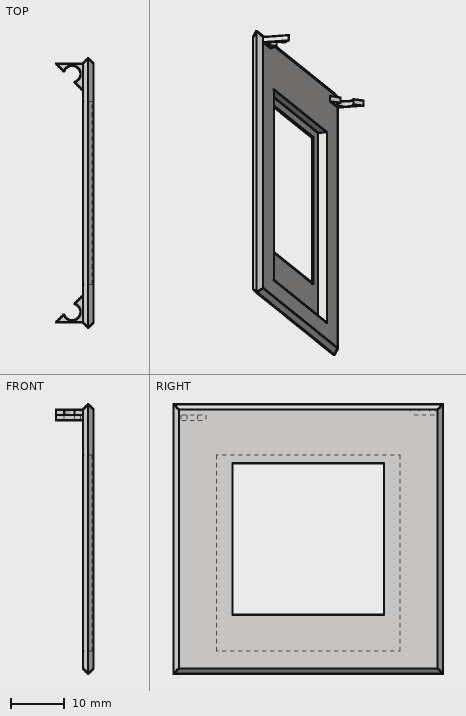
import cadquery as cq

plate_side = 50.0
plate_thickness = 2.0
edge_bevel = plate_thickness / 2

window_side = 28.0
pocket_width = 34.0
pocket_top = 15.6
pocket_bottom = -20.8
pocket_depth = 1.7

clip_leg = 5.0
clip_thickness = 1.0
clip_corner_y = plate_side / 2 - edge_bevel
pin_radius = 1.55
pin_from_plate = 2.0
pin_from_side = 1.95
left_clip_top = plate_side / 2 - edge_bevel
right_clip_top = left_clip_top - clip_thickness


def make_plate():
    """Square plate with its rim bevelled to a ridge at mid-thickness."""
    face_side = plate_side - 2 * edge_bevel
    plate = (
        cq.Workplane("YZ")
        .rect(face_side, face_side)
        .workplane(offset=edge_bevel)
        .rect(plate_side, plate_side)
        .workplane(offset=edge_bevel)
        .rect(face_side, face_side)
        .loft(ruled=True)
    )
    window = cq.Workplane("YZ").rect(window_side, window_side).extrude(plate_thickness)
    pocket = (
        cq.Workplane("YZ")
        .center(0, (pocket_top + pocket_bottom) / 2)
        .rect(pocket_width, pocket_top - pocket_bottom)
        .extrude(pocket_depth)
    )
    return plate.cut(window).cut(pocket)


def make_clip(side, top):
    """Right-angled triangular clip with an open round seat for a pin.

    side is +1 for the +Y corner of the plate and -1 for the -Y corner.
    """
    corner_y = side * clip_corner_y
    triangle = (
        cq.Workplane("XY", origin=(0, 0, top - clip_thickness))
        .moveTo(0, corner_y)
        .lineTo(-clip_leg, corner_y)
        .lineTo(0, corner_y - side * clip_leg)
        .close()
        .extrude(clip_thickness)
    )
    seat = (
        cq.Workplane("XY", origin=(0, 0, top - clip_thickness))
        .center(-pin_from_plate, corner_y - side * pin_from_side)
        .circle(pin_radius)
        .extrude(clip_thickness)
    )
    return triangle.cut(seat)


plate = make_plate()
clips = [make_clip(side, top) for side, top in ((1, left_clip_top), (-1, right_clip_top))]

result = cq.Compound.makeCompound([plate.val(), *[clip.val() for clip in clips]])